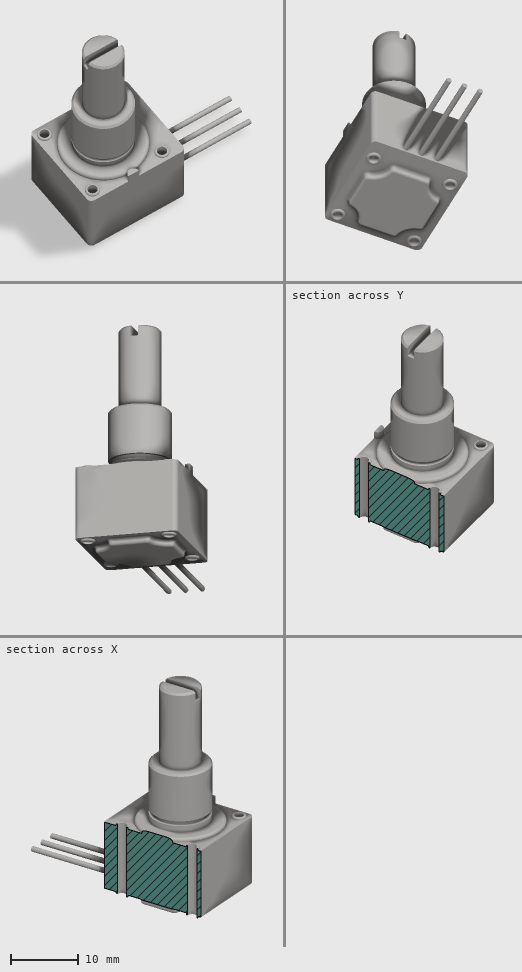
import cadquery as cq


total_height = 34.92
total_depth = 32.7

housing_width = 15.9
housing_front = -7.9
housing_rear = 9.5
housing_corner_radius = 0.8
housing_bottom = 0.98
housing_top = 12.05
housing_depth = housing_rear - housing_front
housing_height = housing_top - housing_bottom

cover_width = 12.22
scallop_radius = 3.15
cover_corner_radius = 0.6
cover_edge_fillet = 0.42
cover_root_fillet = 0.42

rivet_offset = 6.3
rivet_radius = 1.1
rivet_hole_radius = 0.77
rivet_head_height = 0.3
rivet_head_fillet = 0.25

flange_radius = 6.88
flange_height = 0.63
flange_fillet = 0.45
flange_top = housing_top + flange_height

bushing_radius = 4.75
bushing_top = 22.25
bushing_chamfer = 0.3
groove_radius = 4.25
groove_bottom = 13.72
groove_top = 14.5

shaft_radius = 3.18
shaft_chamfer = 0.3
slot_width = 1.2
slot_depth = 1.7

pin_radius = 0.95
pin_top = 13.35

wire_radius = 0.42
wire_spacing = 2.6
wire_height = 1.68
wire_length = total_depth - housing_depth

rivet_points = [(x, y) for x in (-rivet_offset, rivet_offset) for y in (-rivet_offset, rivet_offset)]


def cylinder(radius, bottom, top):
    return cq.Workplane("XY").workplane(offset=bottom).circle(radius).extrude(top - bottom)


def make_housing():
    return (
        cq.Workplane("XY")
        .workplane(offset=housing_bottom)
        .center(0, (housing_front + housing_rear) / 2)
        .rect(housing_width, housing_depth)
        .extrude(housing_height)
        .edges("|Z")
        .fillet(housing_corner_radius)
    )


def make_cover():
    scallops = cq.Workplane("XY").pushPoints(rivet_points).circle(scallop_radius).extrude(housing_bottom)
    return (
        cq.Workplane("XY")
        .rect(cover_width, cover_width)
        .extrude(housing_bottom)
        .cut(scallops)
        .edges("|Z")
        .fillet(cover_corner_radius)
        .faces("<Z")
        .edges()
        .fillet(cover_edge_fillet)
    )


def join_cover(housing, cover):
    """Fuse the cover to the housing and round the inside corner between them."""
    reach = cover_width / 2 + cover_root_fillet
    margin = 0.05
    root_zone = cq.selectors.BoxSelector(
        (-reach, -reach, housing_bottom - margin),
        (reach, reach, housing_bottom + margin),
    )
    return housing.union(cover).edges(root_zone).fillet(cover_root_fillet)


def make_rivet():
    return (
        cylinder(rivet_radius, housing_bottom - rivet_head_height, housing_top + rivet_head_height)
        .faces("<Z or >Z")
        .edges()
        .fillet(rivet_head_fillet)
    )


def make_flange():
    return cylinder(flange_radius, housing_top, flange_top).faces(">Z").edges().fillet(flange_fillet)


def make_bushing():
    foot = cylinder(bushing_radius, flange_top, groove_bottom)
    neck = cylinder(groove_radius, groove_bottom, groove_top)
    barrel = cylinder(bushing_radius, groove_top, bushing_top).faces(">Z").edges().chamfer(bushing_chamfer)
    return foot.union(neck).union(barrel)


def make_shaft():
    slot = (
        cq.Workplane("XY")
        .workplane(offset=total_height - slot_depth)
        .rect(slot_width, 2 * shaft_radius)
        .extrude(slot_depth)
    )
    shaft = cylinder(shaft_radius, bushing_top, total_height).faces(">Z").edges().chamfer(shaft_chamfer)
    return shaft.cut(slot)


def make_pin():
    side = housing_width / 2
    return (
        cq.Workplane("XY")
        .workplane(offset=housing_top)
        .moveTo(side, -pin_radius)
        .threePointArc((side - pin_radius, 0), (side, pin_radius))
        .close()
        .extrude(pin_top - housing_top)
    )


def make_wires():
    wire_points = [(column * wire_spacing, wire_height) for column in (-1, 0, 1)]
    return (
        cq.Workplane("XZ", origin=(0, housing_rear, 0))
        .pushPoints(wire_points)
        .circle(wire_radius)
        .extrude(-wire_length)
    )


result = join_cover(make_housing(), make_cover())
for feature in (make_flange(), make_bushing(), make_shaft(), make_pin(), make_wires()):
    result = result.union(feature)

for x, y in rivet_points:
    result = result.union(make_rivet().translate((x, y, 0)))

rivet_holes = cq.Workplane("XY").pushPoints(rivet_points).circle(rivet_hole_radius).extrude(total_height)
result = result.cut(rivet_holes)